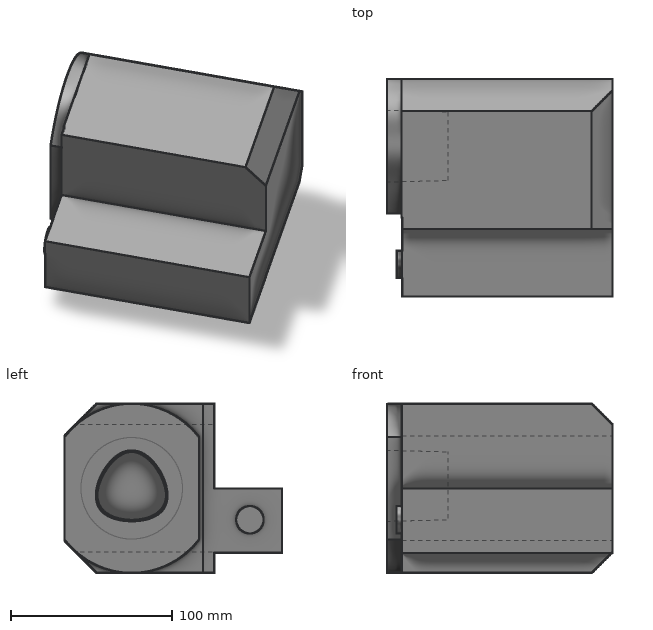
import cadquery as cq
import math

TOTAL_LENGTH = 140.0
TOTAL_WIDTH = 135.0
HEIGHT = 105.0

FLANGE_DIAMETER = HEIGHT
FLANGE_ACROSS_FLATS = 83.5
FLANGE_THICKNESS = 9.0
SLEEVE_DIAMETER = 63.0

SOCKET_MEAN_DIAMETER = 44.0
SOCKET_LOBE_HEIGHT = 1.5
SOCKET_TAPER = 1 / 20
SOCKET_DEPTH = 38.0
SOCKET_LOBES = 3
POINTS_PER_SECTOR = 7

BODY_WIDTH = 93.0
BACK_CHAMFER = 20.0
END_CHAMFER = 13.0
FACE_STEP_DEPTH = 0.5
FACE_STEP_WIDTH = 7.0

ARM_HEIGHT = 40.0
ARM_ABOVE_BASE = 12.5
PIN_DIAMETER = 17.0
PIN_LENGTH = 3.5
PIN_FROM_ARM_SIDE = 20.0
PIN_ABOVE_BASE = 33.0

BACK_Y = FLANGE_ACROSS_FLATS / 2
BODY_FRONT_Y = BACK_Y - BODY_WIDTH
ARM_FRONT_Y = BACK_Y - TOTAL_WIDTH
TOP_Z = HEIGHT / 2
BASE_Z = -TOP_Z
STEP_X = FLANGE_THICKNESS + FACE_STEP_DEPTH


def box_between(low, high):
    """Axis-aligned box from its two opposite corners."""
    size = [b - a for a, b in zip(low, high)]
    return cq.Workplane("XY").box(*size, centered=False).translate(low)


def cylinder_along_x(diameter, start_x, length, y=0.0, z=0.0):
    """Cylinder parallel to the X axis."""
    return cq.Workplane("YZ", origin=(start_x, y, z)).circle(diameter / 2).extrude(length)


def make_body():
    """Block with bevelled back edges, bevelled far end and a slightly stepped face."""
    body = box_between((FLANGE_THICKNESS, BODY_FRONT_Y, BASE_Z), (TOTAL_LENGTH, BACK_Y, TOP_Z))
    body = body.edges("|X and >Y").chamfer(BACK_CHAMFER)

    end_profile = (
        cq.Workplane("XZ", origin=(0, BACK_Y, 0))
        .moveTo(FLANGE_THICKNESS, BASE_Z)
        .lineTo(TOTAL_LENGTH - END_CHAMFER, BASE_Z)
        .lineTo(TOTAL_LENGTH, BASE_Z + END_CHAMFER)
        .lineTo(TOTAL_LENGTH, TOP_Z - END_CHAMFER)
        .lineTo(TOTAL_LENGTH - END_CHAMFER, TOP_Z)
        .lineTo(FLANGE_THICKNESS, TOP_Z)
        .close()
        .extrude(BODY_WIDTH)
    )
    step = box_between(
        (FLANGE_THICKNESS, BODY_FRONT_Y, BASE_Z),
        (STEP_X, BODY_FRONT_Y + FACE_STEP_WIDTH, TOP_Z),
    )
    return body.intersect(end_profile).cut(step)


def make_arm():
    """Rectangular arm along the side of the body, with a short pin on its face."""
    arm_base_z = BASE_Z + ARM_ABOVE_BASE
    arm = box_between(
        (STEP_X, ARM_FRONT_Y, arm_base_z),
        (TOTAL_LENGTH, BODY_FRONT_Y, arm_base_z + ARM_HEIGHT),
    )
    pin = cylinder_along_x(
        PIN_DIAMETER,
        STEP_X - PIN_LENGTH,
        PIN_LENGTH,
        y=ARM_FRONT_Y + PIN_FROM_ARM_SIDE,
        z=BASE_Z + PIN_ABOVE_BASE,
    )
    return arm.union(pin)


def make_flange():
    """Disc trimmed by two flats, without the sleeve in its middle."""
    disc = cylinder_along_x(FLANGE_DIAMETER, 0, FLANGE_THICKNESS)
    flats = box_between((0, -BACK_Y, BASE_Z), (FLANGE_THICKNESS, BACK_Y, TOP_Z))
    return disc.intersect(flats).cut(make_sleeve())


def make_sleeve():
    """Plug flush with the flange face."""
    return cylinder_along_x(SLEEVE_DIAMETER, 0, FLANGE_THICKNESS)


def socket_wire(depth):
    """Hypotrochoid outline at a given depth, one lobe up, split where lobes meet hollows."""
    mean_radius = (SOCKET_MEAN_DIAMETER - SOCKET_TAPER * depth) / 2
    sector = math.pi / SOCKET_LOBES
    harmonic = SOCKET_LOBES - 1

    def point(angle):
        across = mean_radius * math.sin(angle) - SOCKET_LOBE_HEIGHT * math.sin(harmonic * angle)
        upward = mean_radius * math.cos(angle) + SOCKET_LOBE_HEIGHT * math.cos(harmonic * angle)
        return cq.Vector(depth, across, upward)

    edges = []
    for index in range(2 * SOCKET_LOBES):
        start = (index - 0.5) * sector
        step = sector / (POINTS_PER_SECTOR - 1)
        points = [point(start + step * k) for k in range(POINTS_PER_SECTOR)]
        edges.append(cq.Edge.makeSpline(points))
    return cq.Wire.assembleEdges(edges)


def make_socket():
    """Tapered blind socket, narrowing with depth."""
    return cq.Workplane(cq.Solid.makeLoft([socket_wire(0), socket_wire(SOCKET_DEPTH)], True))


solid_block = make_body().union(make_arm()).union(make_flange())
with_sleeve = solid_block.union(make_sleeve(), clean=False)
result = with_sleeve.cut(make_socket(), clean=False)